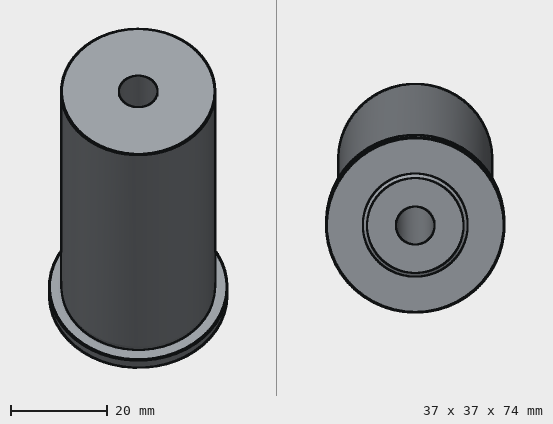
import cadquery as cq
import math

total_height = 74.0
flange_diameter = 37.0
body_diameter = 32.0
bore_diameter = 8.0

pad_bottom_diameter = 20.0
pad_height = 0.5
pad_flank_angle = 60.0

flange_thickness = 3.0
edge_chamfer = 0.2

relief_height = 1.2
wall_relief_depth = 0.1
face_relief_depth = 0.05
relief_width = 0.58

body_radius = body_diameter / 2
flange_radius = flange_diameter / 2
flange_bottom = pad_height
flange_top = flange_bottom + flange_thickness


def make_pad():
    """Tapered disc, widest where it meets the flange."""
    bottom_radius = pad_bottom_diameter / 2
    top_radius = bottom_radius + pad_height * math.tan(math.radians(pad_flank_angle))
    profile = [(0, 0), (bottom_radius, 0), (top_radius, pad_height), (0, pad_height)]
    section = cq.Workplane("XZ").polyline(profile).close()
    return section.revolve(360, (0, 0, 0), (0, 1, 0))


def make_flange():
    flange = cq.Workplane("XY").workplane(offset=flange_bottom).circle(flange_radius)
    return flange.extrude(flange_thickness).edges().chamfer(edge_chamfer)


def make_body():
    body = cq.Workplane("XY").workplane(offset=flange_bottom).circle(body_radius)
    return body.extrude(total_height - flange_bottom).faces(">Z").edges().chamfer(edge_chamfer)


def make_relief():
    """Ring with two shallow ramps that undercuts both the body wall and the flange face."""
    wall_end = (body_radius, flange_top + relief_height)
    root = (body_radius - wall_relief_depth, flange_top - face_relief_depth)
    face_end = (body_radius + relief_width, flange_top)
    corner = (body_radius, flange_top)
    section = cq.Workplane("XZ").polyline([wall_end, root, face_end, corner]).close()
    return section.revolve(360, (0, 0, 0), (0, 1, 0))


def make_bore():
    return cq.Workplane("XY").circle(bore_diameter / 2).extrude(total_height)


result = make_pad().union(make_flange()).union(make_body()).cut(make_relief()).cut(make_bore())